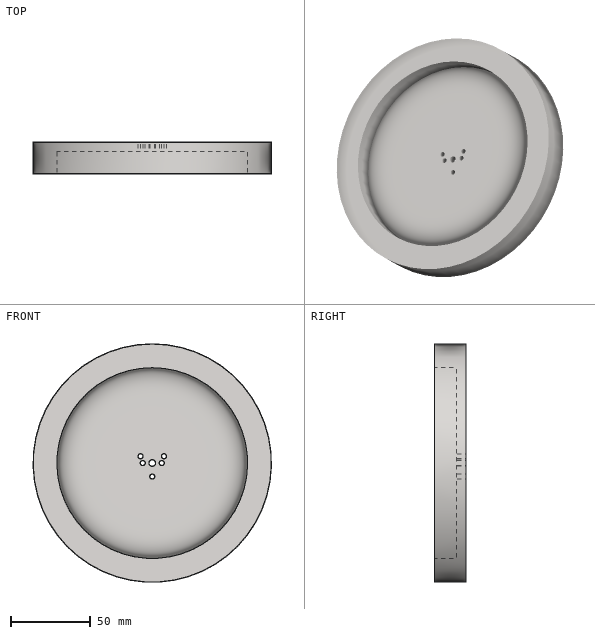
import cadquery as cq
import math

outer_diameter = 150.0
width = 20.0
front_y = -width / 2
recess_diameter = 120.0
recess_depth = 14.0

center_hole_diameter = 4.0
small_hole_diameter = 3.0
three_hole_radius = 8.5
three_hole_start = -90.0
three_hole_count = 3
pair_spacing = 12.0


def cylinder_along_y(diameter, y_start, length, x=0.0, z=0.0):
    """Cylinder running in +Y from y_start, centred on (x, z)."""
    base = cq.Vector(x, y_start, z)
    direction = cq.Vector(0, 1, 0)
    return cq.Workplane(cq.Solid.makeCylinder(diameter / 2, length, base, direction))


def through_hole(diameter, x=0.0, z=0.0):
    """Cutter that passes through the full width of the wheel at (x, z)."""
    return cylinder_along_y(diameter, front_y, width, x, z)


result = cylinder_along_y(outer_diameter, front_y, width)
result = result.cut(cylinder_along_y(recess_diameter, front_y, recess_depth))

result = result.cut(through_hole(center_hole_diameter))

for index in range(three_hole_count):
    angle = math.radians(three_hole_start + index * 360.0 / three_hole_count)
    hole_x = three_hole_radius * math.cos(angle)
    hole_z = three_hole_radius * math.sin(angle)
    result = result.cut(through_hole(small_hole_diameter, hole_x, hole_z))

for side in (-1, 1):
    result = result.cut(through_hole(small_hole_diameter, side * pair_spacing / 2))